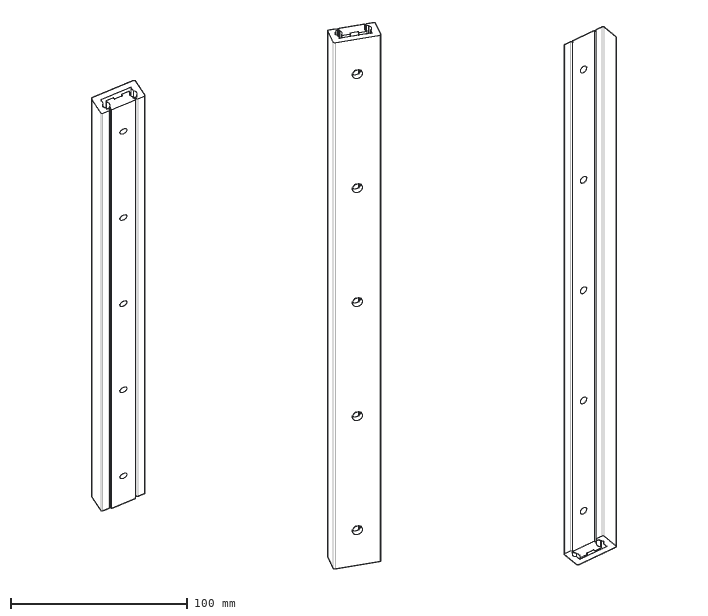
import cadquery as cq

total_length = 370.0
depth = 13.0
width = 28.0
top_z = total_length / 2

slide_overhang = 1.0
housing_length = total_length - slide_overhang
back_thickness = 3.7
channel_half_width = 9.5
mouth_half_width = 8.5
corner_radius = 1.0
tip_radius = 0.7

slide_half_width = 7.5
lip_half_width = 7.8
slide_back_gap = 2.05
slide_back_x = back_thickness + slide_back_gap
relief_half_width = 2.5
relief_depth = 1.0

lip_x = 11.0

raceway_x = 8.5
raceway_length = 3.7
housing_raceway_depth = 1.0
slide_raceway_depth = 0.7

hole_count = 5
hole_pitch = 80.0
hole_center_z = top_z - housing_length / 2
housing_hole_diameter = 6.0
slide_hole_diameter = 4.5

raceway_start = raceway_x - raceway_length / 2
raceway_end = raceway_x + raceway_length / 2


def cut_mounting_holes(body, diameter):
    """Drill the evenly spaced holes through a body along X."""
    for index in range(hole_count):
        hole_z = hole_center_z + (index - (hole_count - 1) / 2) * hole_pitch
        hole = (
            cq.Workplane("YZ")
            .center(0, hole_z)
            .circle(diameter / 2)
            .extrude(depth)
        )
        body = body.cut(hole)
    return body


def make_housing():
    """Build the channel with rounded back corners, rounded wall tips and an arc raceway in each wall."""
    block = (
        cq.Workplane("XY", origin=(0, 0, top_z))
        .rect(depth, width)
        .extrude(-housing_length)
        .edges("|Z and <X")
        .fillet(corner_radius)
        .translate((depth / 2, 0, 0))
    )
    raceway_bottom = channel_half_width + housing_raceway_depth
    channel = (
        cq.Workplane("XY", origin=(0, 0, top_z))
        .moveTo(back_thickness, -channel_half_width)
        .lineTo(raceway_start, -channel_half_width)
        .threePointArc((raceway_x, -raceway_bottom), (raceway_end, -channel_half_width))
        .lineTo(lip_x, -channel_half_width)
        .lineTo(lip_x, -mouth_half_width)
        .lineTo(depth, -mouth_half_width)
        .lineTo(depth, mouth_half_width)
        .lineTo(lip_x, mouth_half_width)
        .lineTo(lip_x, channel_half_width)
        .lineTo(raceway_end, channel_half_width)
        .threePointArc((raceway_x, raceway_bottom), (raceway_start, channel_half_width))
        .lineTo(back_thickness, channel_half_width)
        .close()
        .extrude(-housing_length)
    )
    channel_block = block.cut(channel).faces(">X").edges("|Z").fillet(tip_radius)
    return cut_mounting_holes(channel_block, housing_hole_diameter)


def make_slide():
    """Build the rail with side raceways and a relief along its back."""
    raceway_bottom = slide_half_width - slide_raceway_depth
    relief_x = slide_back_x + relief_depth
    rail = (
        cq.Workplane("XY", origin=(0, 0, top_z))
        .moveTo(slide_back_x, -slide_half_width)
        .lineTo(raceway_start, -slide_half_width)
        .threePointArc((raceway_x, -raceway_bottom), (raceway_end, -slide_half_width))
        .lineTo(lip_x, -slide_half_width)
        .lineTo(lip_x, -lip_half_width)
        .lineTo(depth, -lip_half_width)
        .lineTo(depth, lip_half_width)
        .lineTo(lip_x, lip_half_width)
        .lineTo(lip_x, slide_half_width)
        .lineTo(raceway_end, slide_half_width)
        .threePointArc((raceway_x, raceway_bottom), (raceway_start, slide_half_width))
        .lineTo(slide_back_x, slide_half_width)
        .lineTo(slide_back_x, relief_half_width)
        .lineTo(relief_x, relief_half_width)
        .lineTo(relief_x, -relief_half_width)
        .lineTo(slide_back_x, -relief_half_width)
        .close()
        .extrude(-total_length)
    )
    return cut_mounting_holes(rail, slide_hole_diameter)


housing = make_housing()
slide = make_slide()
result = cq.Compound.makeCompound([housing.val(), slide.val()])